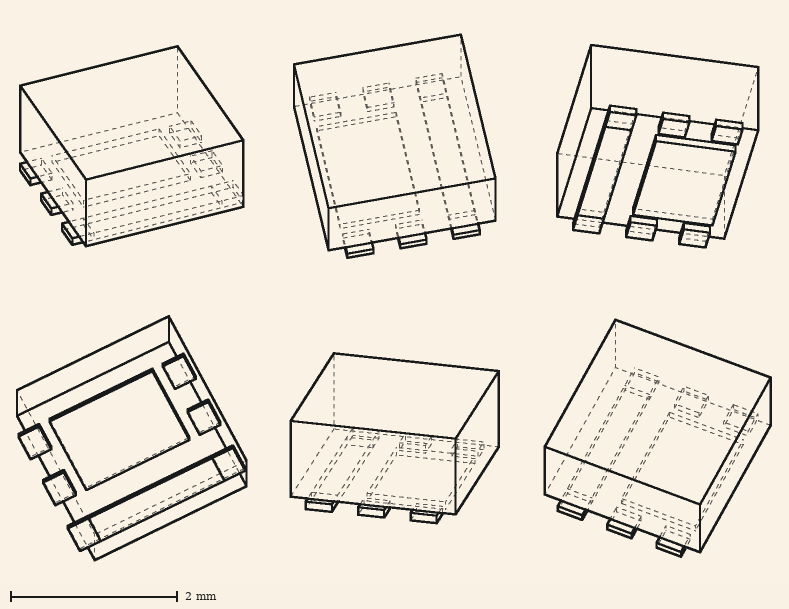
import cadquery as cq

housing_side = 2.05
housing_height = 1.0

overall_length = 2.23
metal_thickness = 0.1
lead_width = 0.323
lead_length = 0.28
lead_pitch = 0.651
lead_columns = (-1, 0, 1)
lead_row_y = (overall_length - lead_length) / 2

wide_pad_width = lead_pitch + lead_width
wide_pad_length = 1.392
wide_pad_x = -lead_pitch / 2

narrow_pad_width = lead_width
narrow_pad_length = overall_length - 2 * lead_length
narrow_pad_x = lead_pitch


def make_housing():
    """Plain block resting on top of the metal layer."""
    return (
        cq.Workplane("XY")
        .workplane(offset=metal_thickness)
        .rect(housing_side, housing_side)
        .extrude(housing_height)
    )


def make_metal_plate(width, length, x, y):
    """Flat plate in the metal layer under the housing, centred on x and y."""
    return cq.Workplane("XY").center(x, y).rect(width, length).extrude(metal_thickness)


def make_lead(column, side):
    """One lead; side is -1 or +1 for the row along -Y or +Y."""
    return make_metal_plate(lead_width, lead_length, column * lead_pitch, side * lead_row_y)


housing = make_housing()
leads = [make_lead(column, side) for side in (-1, 1) for column in lead_columns]
wide_pad = make_metal_plate(wide_pad_width, wide_pad_length, wide_pad_x, 0)
narrow_pad = make_metal_plate(narrow_pad_width, narrow_pad_length, narrow_pad_x, 0)

result = cq.Compound.makeCompound([
    housing.val(),
    *[lead.val() for lead in leads],
    wide_pad.val(),
    narrow_pad.val(),
])